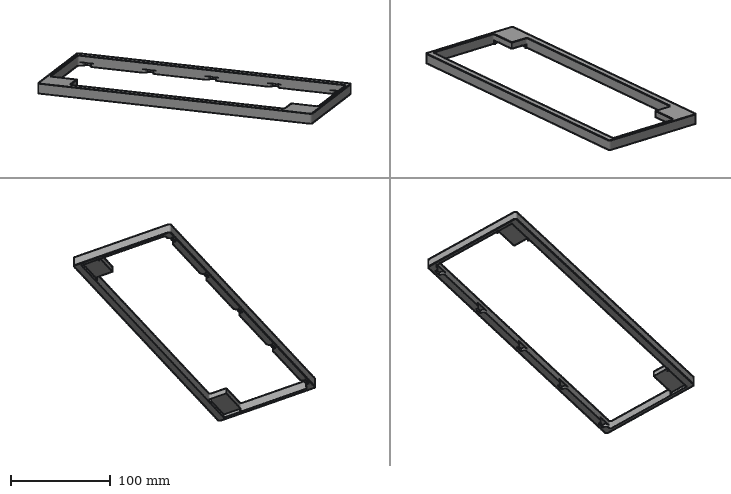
import cadquery as cq

LENGTH = 294.8
WIDTH = 112.3
HEIGHT = 11.0
OUTER_RADIUS = 2.5
EDGE_CHAMFER = 0.45

END_WALL = 3.5
LONG_WALL = 7.7
INNER_RADIUS = 2.0

PAD_LENGTH = 32.5
PAD_WIDTH = 27.0

POCKET_HEIGHT = 3.8
POCKET_COUNT = 5
POCKET_PITCH = 67.2
POCKET_LENGTH = 6.8
POCKET_DEPTH = 4.7
MOUTH_RADIUS = 3.5

WINDOW_BACK = WIDTH / 2 - LONG_WALL
WINDOW_FRONT = -WINDOW_BACK
WINDOW_END = LENGTH / 2 - END_WALL
PAD_BACK = -WIDTH / 2 + PAD_WIDTH
PAD_INNER_END = LENGTH / 2 - PAD_LENGTH


def box_between(x_range, y_range, height):
    """Box standing on the underside plane, spanning the given X and Y ranges."""
    size_x = x_range[1] - x_range[0]
    size_y = y_range[1] - y_range[0]
    return (
        cq.Workplane("XY")
        .box(size_x, size_y, height, centered=False)
        .translate((x_range[0], y_range[0], 0))
    )


def make_window():
    """T-shaped opening with rounded corners, leaving a pad in each front corner."""
    rear = box_between((-WINDOW_END, WINDOW_END), (PAD_BACK, WINDOW_BACK), HEIGHT)
    front = box_between((-PAD_INNER_END, PAD_INNER_END), (WINDOW_FRONT, WINDOW_BACK), HEIGHT)
    rear = rear.edges("|Z").fillet(INNER_RADIUS)
    front = front.edges("|Z and <Y").fillet(INNER_RADIUS)
    return rear.union(front)


def make_back_pocket(x_center):
    """Pocket in the back wall whose mouth flares with a rounded edge on each side."""
    half = POCKET_LENGTH / 2
    mouth = half + MOUTH_RADIUS
    return (
        cq.Workplane("XY")
        .moveTo(-mouth, 0)
        .radiusArc((-half, MOUTH_RADIUS), -MOUTH_RADIUS)
        .lineTo(-half, POCKET_DEPTH)
        .lineTo(half, POCKET_DEPTH)
        .lineTo(half, MOUTH_RADIUS)
        .radiusArc((mouth, 0), -MOUTH_RADIUS)
        .close()
        .extrude(POCKET_HEIGHT)
        .translate((x_center, WINDOW_BACK, 0))
    )


def make_pad_pocket():
    """Relief under the right-hand pad, open to the window."""
    return box_between((PAD_INNER_END, WINDOW_END), (WINDOW_FRONT, PAD_BACK), POCKET_HEIGHT)


result = cq.Workplane("XY").box(LENGTH, WIDTH, HEIGHT, centered=(True, True, False))
result = result.edges("|Z").fillet(OUTER_RADIUS)
result = result.faces("<Z").edges().chamfer(EDGE_CHAMFER)
result = result.cut(make_window())
result = result.faces(">Z").edges().chamfer(EDGE_CHAMFER)

for index in range(POCKET_COUNT):
    offset = (index - (POCKET_COUNT - 1) / 2) * POCKET_PITCH
    result = result.cut(make_back_pocket(offset))

right_pad_pocket = make_pad_pocket()
result = result.cut(right_pad_pocket).cut(right_pad_pocket.mirror("YZ"))